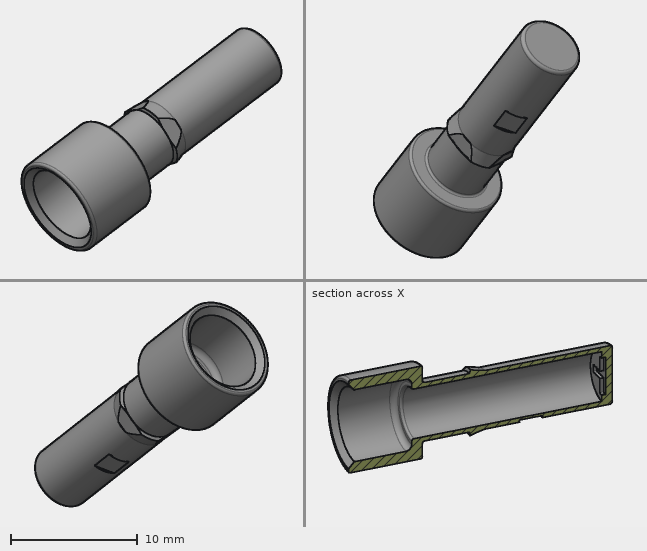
import cadquery as cq

length = 22.8

head_radius = 4.1
head_length = 6.4
head_edge_fillet = 0.2
socket_mouth_radius = 3.7
socket_radius = 3.15
socket_taper_length = 0.5
socket_floor_fillet = 0.5
head_wall = head_radius - socket_radius
socket_depth = head_length - head_wall

shank_radius = 2.6
shank_root_fillet = 0.18
shank_tip_fillet = 0.27
bore_radius = 2.17
bore_entry_fillet = 0.2
tip_wall = head_wall
bore_end = length - tip_wall

barb_radius = 2.92
barb_base_y = 10.42
barb_rim_y = 10.5
barb_tip_y = 11.76
barb_flat_distance = 2.55
barb_flat_count = 4
first_flat_angle = 45.0

cross_span = 3.24
cross_arm_width = 0.64
cross_corner_fillet = 0.1
cross_depth = cross_arm_width / 2

flat_start_y = 14.77
flat_end_y = 16.75
flat_depth = 0.18


def make_body():
    """Stepped outside with rounded edges, before hollowing."""
    profile = (
        cq.Workplane("XY")
        .lineTo(head_radius - head_edge_fillet, 0)
        .radiusArc((head_radius, head_edge_fillet), -head_edge_fillet)
        .lineTo(head_radius, head_length - head_edge_fillet)
        .radiusArc((head_radius - head_edge_fillet, head_length), -head_edge_fillet)
        .lineTo(shank_radius + shank_root_fillet, head_length)
        .radiusArc((shank_radius, head_length + shank_root_fillet), shank_root_fillet)
        .lineTo(shank_radius, length - shank_tip_fillet)
        .radiusArc((shank_radius - shank_tip_fillet, length), -shank_tip_fillet)
        .lineTo(0, length)
        .close()
    )
    return profile.revolve(360, (0, 0, 0), (0, 1, 0))


def make_cavity():
    """Socket with a tapered mouth and rounded floor corner, leading into the rounded bore entry."""
    floor_y = socket_depth
    profile = (
        cq.Workplane("XY")
        .lineTo(socket_mouth_radius, 0)
        .lineTo(socket_radius, socket_taper_length)
        .lineTo(socket_radius, floor_y - socket_floor_fillet)
        .radiusArc((socket_radius - socket_floor_fillet, floor_y), -socket_floor_fillet)
        .lineTo(bore_radius + bore_entry_fillet, floor_y)
        .radiusArc((bore_radius, floor_y + bore_entry_fillet), bore_entry_fillet)
        .lineTo(bore_radius, bore_end)
        .lineTo(0, bore_end)
        .close()
    )
    return profile.revolve(360, (0, 0, 0), (0, 1, 0))


def make_barb():
    """Conical ring, its inner edge buried in the shank wall, before its flats are cut."""
    core_radius = (bore_radius + shank_radius) / 2
    profile = (
        cq.Workplane("XY")
        .moveTo(core_radius, barb_base_y)
        .lineTo(shank_radius, barb_base_y)
        .lineTo(barb_radius, barb_rim_y)
        .lineTo(shank_radius, barb_tip_y)
        .lineTo(core_radius, barb_tip_y)
        .close()
    )
    return profile.revolve(360, (0, 0, 0), (0, 1, 0))


def make_barb_flat_cutter(angle):
    """Block whose inner face lies on one flat of the barb."""
    barb_length = barb_tip_y - barb_base_y
    return (
        cq.Workplane("XY")
        .box(2 * barb_radius, barb_length, barb_radius, centered=(True, False, False))
        .translate((0, barb_base_y, barb_flat_distance))
        .rotate((0, 0, 0), (0, 1, 0), angle)
    )


def make_cross():
    """Two crossed bars with rounded end corners, sunk into the bore floor."""
    bar = (
        cq.Workplane("XY")
        .box(cross_span, cross_depth, cross_arm_width, centered=(True, False, True))
        .edges("|Y")
        .fillet(cross_corner_fillet)
    )
    cross = bar.union(bar.rotate((0, 0, 0), (0, 1, 0), 90))
    return cross.translate((0, bore_end, 0))


def make_underside_flat():
    """Block that trims a short flat across the bottom of the shank."""
    return (
        cq.Workplane("XY")
        .box(2 * shank_radius, flat_end_y - flat_start_y, shank_radius, centered=(True, False, False))
        .translate((0, flat_start_y, flat_depth - 2 * shank_radius))
    )


result = make_body().union(make_barb())
for flat_index in range(barb_flat_count):
    flat_angle = first_flat_angle + flat_index * 360 / barb_flat_count
    result = result.cut(make_barb_flat_cutter(flat_angle))
result = result.cut(make_cavity())
result = result.cut(make_cross())
result = result.cut(make_underside_flat())